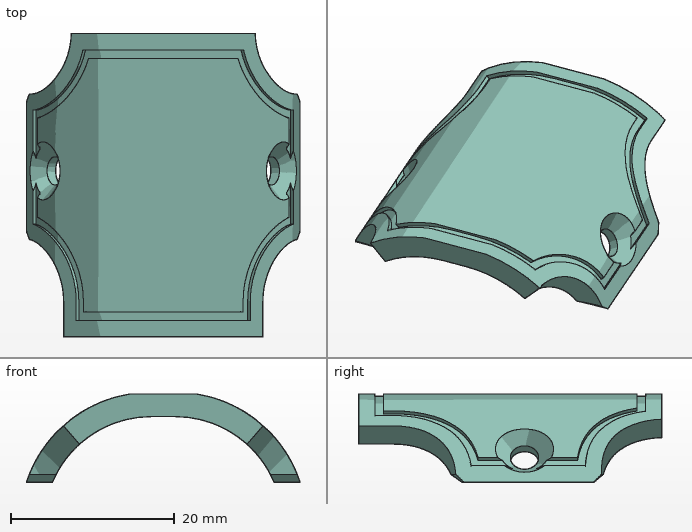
import cadquery as cq
import math

width = 33.4
length = 37.0
height = 10.8
crown_width = 3.0
axis_drop = 5.0
wall = 3.0
axis_offset = crown_width / 2
outer_radius = math.hypot(width / 2 - axis_offset, axis_drop)
inner_radius = outer_radius - wall

shoulder_angle = 48.9
shoulder_half_width = 1.05
shoulder_distance = math.sqrt(outer_radius**2 - shoulder_half_width**2)

rear_notch_radius = 7.7
rear_notch_down = 6.65
rear_notch_along = 18.85
front_notch_radius = 7.55
front_notch_down = 7.77
front_notch_along = -14.17
foot_chamfer = 1.0

foot_angle = math.asin(axis_drop / outer_radius)
foot_down = outer_radius * math.sin(math.radians(shoulder_angle) - foot_angle)

cut_start = 3.7
cut_depth = 22.2
cut_reach = 29.6

groove_margin = 2.0
groove_width = 1.05
groove_depth = 0.48

hole_angle = 34.5
hole_along = 1.75
hole_diameter = 3.45
countersink_angle = 90.0
countersink_depth = 1.8
countersink_overshoot = 1.85


def arch(radius):
    """Solid under two arcs joined by a flat crown, as long as the part."""
    half_width = axis_offset + radius
    crown_height = radius - axis_drop
    diagonal = radius * math.sqrt(0.5)
    return (
        cq.Workplane("XZ")
        .moveTo(half_width, -axis_drop)
        .threePointArc((axis_offset + diagonal, diagonal - axis_drop), (axis_offset, crown_height))
        .lineTo(-axis_offset, crown_height)
        .threePointArc((-axis_offset - diagonal, diagonal - axis_drop), (-half_width, -axis_drop))
        .close()
        .extrude(length / 2, both=True)
    )


def flank_plane(angle, distance):
    """Plane facing radially out of the +X flank, at a distance from the arch axis."""
    turn = math.radians(angle)
    normal = cq.Vector(math.cos(turn), 0, math.sin(turn))
    down = cq.Vector(math.sin(turn), 0, -math.cos(turn))
    axis_point = cq.Vector(axis_offset, 0, -axis_drop)
    return cq.Plane(origin=axis_point + normal * distance, xDir=down, normal=normal)


def both_flanks(solid):
    return solid.union(solid.mirror("YZ"))


def flank_block(down_min, along_min, along_max):
    """Block covering everything further down the flank, between two Y positions."""
    return (
        cq.Workplane(flank_plane(shoulder_angle, cut_start))
        .moveTo(down_min, along_min)
        .lineTo(down_min + cut_reach, along_min)
        .lineTo(down_min + cut_reach, along_max)
        .lineTo(down_min, along_max)
        .close()
        .extrude(cut_depth)
    )


def corner_notch(down, along, radius, end):
    """Round notch that runs out straight to the given end of the part."""
    round_part = (
        cq.Workplane(flank_plane(shoulder_angle, cut_start))
        .center(down, along)
        .circle(radius)
        .extrude(cut_depth)
    )
    to_end = flank_block(down - radius, min(along, end), max(along, end))
    inner = along - math.copysign(radius, end)
    return round_part.union(to_end).union(flank_block(down, min(along, inner), max(along, inner)))


def notches(margin):
    """All four corner notches, grown by a margin."""
    front = corner_notch(front_notch_down, front_notch_along, front_notch_radius + margin, -length)
    rear = corner_notch(rear_notch_down, rear_notch_along, rear_notch_radius + margin, length)
    return both_flanks(front.union(rear))


def inset_region(margin):
    """Everything that lies at least a margin inside the outline."""
    block = cq.Workplane("XY").box(width, length - 2 * margin, height, centered=(True, True, False))
    below_foot = flank_block(foot_down - margin, -length, length)
    return block.cut(notches(margin)).cut(both_flanks(below_foot))


def screw_hole():
    """Radial screw hole with its countersink, in the +X flank."""
    bore_radius = hole_diameter / 2
    bore = (
        cq.Workplane(flank_plane(hole_angle, cut_start))
        .center(0, hole_along)
        .circle(bore_radius)
        .extrude(cut_depth)
    )
    cone_plane = flank_plane(hole_angle, outer_radius - countersink_depth)
    cone_height = countersink_depth + countersink_overshoot
    cone_radius = bore_radius + cone_height * math.tan(math.radians(countersink_angle / 2))
    countersink = cq.Solid.makeCone(
        bore_radius,
        cone_radius,
        cone_height,
        pnt=cone_plane.toWorldCoords((0, hole_along)),
        dir=cone_plane.zDir,
    )
    return bore.union(countersink)


def above_shoulder():
    """Everything outside the shoulder flat of the +X flank."""
    return (
        cq.Workplane(flank_plane(shoulder_angle, shoulder_distance))
        .rect(cut_reach, 2 * length)
        .extrude(cut_depth)
    )


envelope = cq.Workplane("XY").box(width, length, height, centered=(True, True, False))
shell = arch(outer_radius).cut(arch(inner_radius)).intersect(envelope)
shell = shell.cut(both_flanks(above_shoulder())).cut(notches(0))

shell = shell.faces("<Z").edges("not(|Y)").chamfer(foot_chamfer)

groove = inset_region(groove_margin).cut(inset_region(groove_margin + groove_width))
groove = groove.cut(arch(outer_radius - groove_depth))

result = shell.cut(groove).cut(both_flanks(screw_hole()))